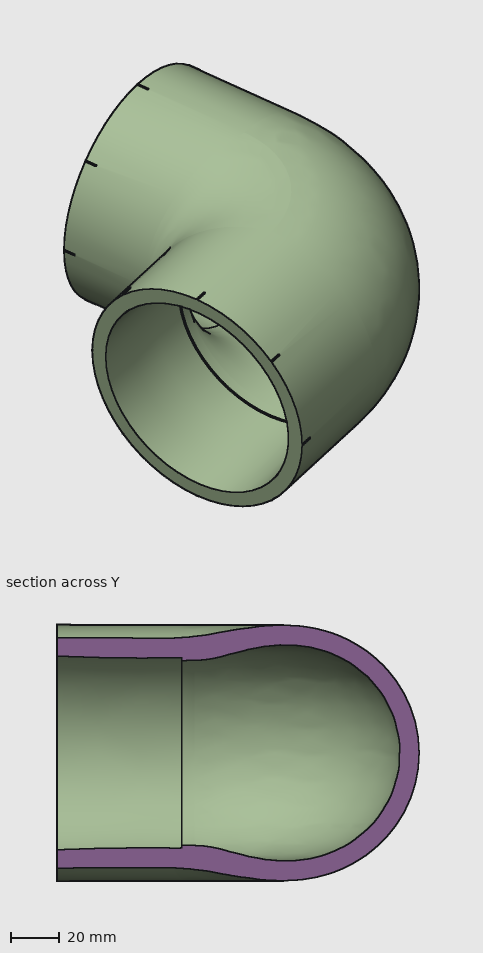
import cadquery as cq
import math

x_arm_length = 98.3
y_arm_length = 98.0

outer_diameter = 104.6
outer_radius = outer_diameter / 2
outer_bend_radius = 44.9
throat_fillet_radius = 6.2

socket_mouth_radius = 45.5
socket_root_radius = 44.9
socket_depth = 51.0
bore_radius = 44.0
bore_bend_radius = 42.2

mark_count = 8
mark_length = 5.5
mark_width = 0.6
mark_height = 0.2

throat_section_count = 9
section_overlap = 15.0

arms = [
    (cq.Plane(origin=(-x_arm_length, 0, 0), xDir=(0, 1, 0), normal=(1, 0, 0)), x_arm_length),
    (cq.Plane(origin=(0, -y_arm_length, 0), xDir=(-1, 0, 0), normal=(0, 1, 0)), y_arm_length),
]


def quarter_bend(bend_radius, section_radius):
    """Round section turned by 90 degrees; what would cross the turning axis is left off."""
    cut_height = math.sqrt(section_radius**2 - bend_radius**2)
    outermost = (bend_radius + section_radius, 0)
    profile = cq.Workplane("XZ").moveTo(0, -cut_height)
    profile = profile.threePointArc(outermost, (0, cut_height)).close()
    bend = profile.revolve(90, (0, 0, 0), (0, 1, 0))
    return bend.translate((-bend_radius, -bend_radius, 0))


def throat_section(angle):
    """Closed wire across the inside of the bend: a half ellipse plus a point inside the bend."""
    turn = cq.Vector(math.cos(angle), math.sin(angle), 0)
    diagonal = cq.Vector(-1, -1, 0)
    centreline = diagonal * outer_bend_radius + turn * outer_bend_radius
    throat = diagonal * (outer_radius + throat_fillet_radius) + turn * throat_fillet_radius
    inward = throat - centreline
    plane = cq.Plane(origin=centreline, xDir=inward, normal=inward.cross(cq.Vector(0, 0, 1)))
    return (
        cq.Workplane(plane)
        .ellipseArc(inward.Length, outer_radius, -90, 90, startAtCurrent=False)
        .lineTo(-section_overlap, 0)
        .close()
        .val()
    )


def throat():
    """Inside of the bend: its rounding shrinks from the centreline down to the inside corner."""
    step = math.pi / 2 / (throat_section_count - 1)
    sections = [throat_section(index * step) for index in range(throat_section_count)]
    return cq.Workplane(cq.Solid.makeLoft(sections))


def shell_arm(end, length):
    return cq.Workplane(end).circle(outer_radius).extrude(length - outer_bend_radius)


def marks(end):
    """Thin raised ribs running inwards from an arm end, evenly spaced around it."""
    rib_depth = 2 * mark_height
    return (
        cq.Workplane(end)
        .polarArray(outer_radius, 0, 360, mark_count)
        .rect(rib_depth, mark_width)
        .extrude(mark_length)
    )


def arm_passage(end, length):
    """Tapered socket, its shoulder and the straight bore up to the bend."""
    bore = cq.Workplane(end).circle(bore_radius).extrude(length - bore_bend_radius)
    socket = (
        cq.Workplane(end)
        .circle(socket_mouth_radius)
        .workplane(offset=socket_depth)
        .circle(socket_root_radius)
        .loft()
    )
    return bore.union(socket)


shell = quarter_bend(outer_bend_radius, outer_radius).union(throat())
passage = quarter_bend(bore_bend_radius, bore_radius)
for end, length in arms:
    shell = shell.union(shell_arm(end, length)).union(marks(end))
    passage = passage.union(arm_passage(end, length))

result = shell.cut(passage)